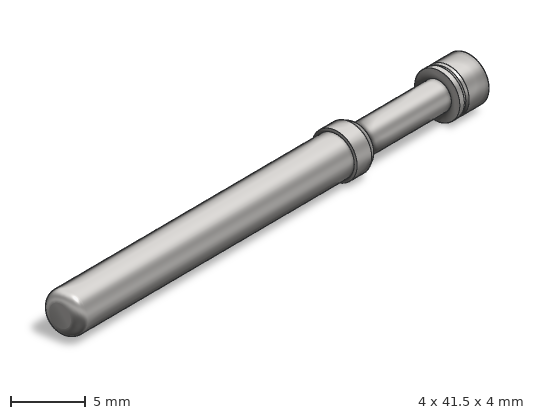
import cadquery as cq

total_length = 41.5
head_diameter = 4.0
head_length = 3.0
stem_diameter = 2.5
collar_diameter = head_diameter
collar_start = 11.5
collar_length = 2.0
collar_taper_length = 0.5
barrel_diameter = 3.5
tip_radius = 0.8
groove_start = 2.05
groove_width = 0.5
groove_depth = 0.1

head_face = total_length / 2
tip_face = -total_length / 2
head_back = head_face - head_length
groove_top = head_face - groove_start
groove_bottom = groove_top - groove_width
groove_middle = (groove_top + groove_bottom) / 2
collar_front = head_face - collar_start
collar_taper_end = collar_front - collar_taper_length
collar_back = collar_front - collar_length

head_radius = head_diameter / 2
stem_radius = stem_diameter / 2
collar_radius = collar_diameter / 2
barrel_radius = barrel_diameter / 2


def turned_pin():
    """Head with a shallow V groove, stem, tapered collar and barrel in one revolve."""
    half_profile = (
        cq.Workplane("XY")
        .moveTo(0, head_face)
        .lineTo(head_radius, head_face)
        .lineTo(head_radius, groove_top)
        .lineTo(head_radius - groove_depth, groove_middle)
        .lineTo(head_radius, groove_bottom)
        .lineTo(head_radius, head_back)
        .lineTo(stem_radius, head_back)
        .lineTo(stem_radius, collar_front)
        .lineTo(barrel_radius, collar_front)
        .lineTo(collar_radius, collar_taper_end)
        .lineTo(collar_radius, collar_back)
        .lineTo(barrel_radius, collar_back)
        .lineTo(barrel_radius, tip_face)
        .lineTo(0, tip_face)
        .close()
    )
    return half_profile.revolve(360, (0, 0, 0), (0, 1, 0))


result = turned_pin().faces("<Y").edges().fillet(tip_radius)